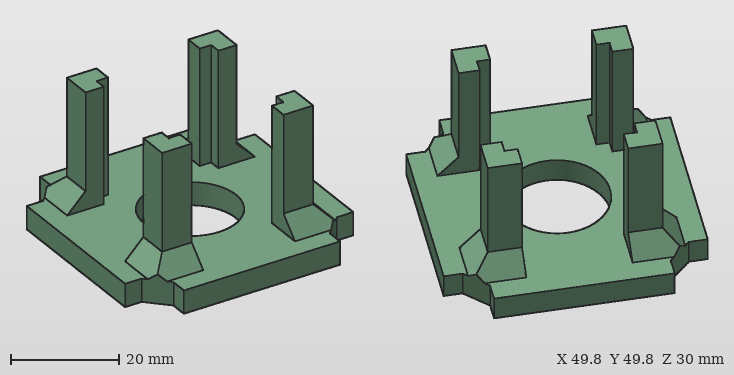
import cadquery as cq

plate_side = 49.8
plate_thickness = 5.0
bore_diameter = 20.0
half_side = plate_side / 2

notch_shoulder = 17.05
notch_step = 3.6
notch_depth = half_side - notch_step

total_height = 30.0
post_inner = 10.0
post_outer = 16.5
post_relief = 2.5
flare = 4.0


def corner_notch():
    """Cutter for the corner in the +X +Y quadrant, through the full height."""
    return (
        cq.Workplane("XY")
        .moveTo(notch_shoulder, half_side)
        .lineTo(notch_shoulder, notch_depth)
        .lineTo(notch_depth, notch_shoulder)
        .lineTo(half_side, notch_shoulder)
        .lineTo(half_side, half_side)
        .close()
        .extrude(total_height)
    )


def post_square(bottom, size):
    """Square outline growing outward from the inner corner of the post."""
    return (
        cq.Workplane("XY", origin=(post_inner, post_inner, bottom))
        .rect(size, size, centered=False)
    )


def corner_post():
    """Post in the +X +Y quadrant: flared outer foot and relieved inner edge."""
    width = post_outer - post_inner
    post = post_square(0, width).extrude(total_height)
    foot = (
        post_square(plate_thickness, width + flare)
        .workplane(offset=flare)
        .rect(width, width, centered=False)
        .loft(ruled=True)
    )
    relief = post_square(plate_thickness, post_relief).extrude(total_height)
    return post.union(foot).cut(relief)


plate = cq.Workplane("XY").rect(plate_side, plate_side).extrude(plate_thickness)
bore = cq.Workplane("XY").circle(bore_diameter / 2).extrude(plate_thickness)

result = plate.cut(bore)
for angle in (0, 90, 180, 270):
    result = result.union(corner_post().rotate((0, 0, 0), (0, 0, 1), angle))

for angle in (0, 90, 180, 270):
    result = result.cut(corner_notch().rotate((0, 0, 0), (0, 0, 1), angle))